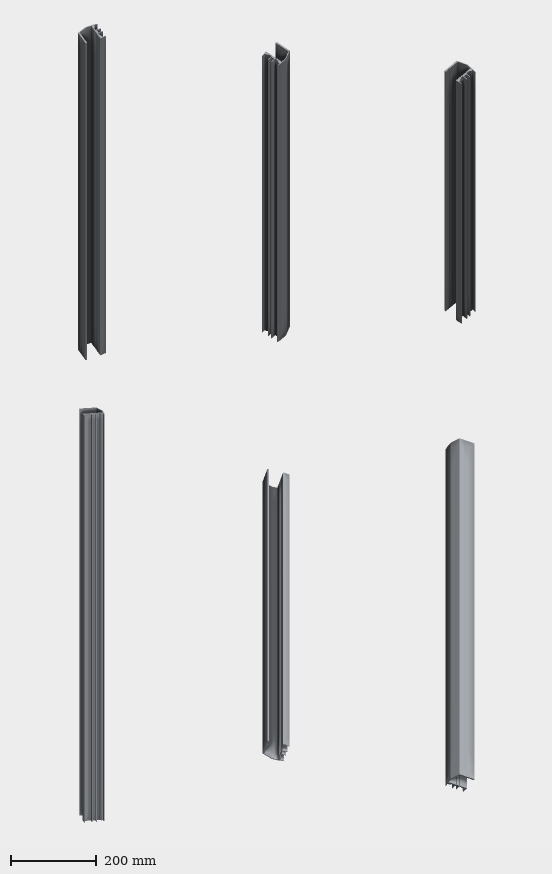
import cadquery as cq

length = 1000.0
width = 50.0
depth = 54.0
left = -width / 2
right = width / 2
front = -depth / 2
back = depth / 2

wall = 2.0
bend_y = -2.0
bend_radius = 8.0

groove_width = 4.0
groove_depth = 0.5
flange_groove_x = 1.0
web_groove_centres = (-5.0, 3.0)

flange_left = -15.0
flange = 4.0
flange_notch_x = 13.0
flange_notch_width = 3.0
flange_notch_depth = 1.0

web_front = 11.0
web = 3.0
web_back = web_front + web

block_back = 18.0
left_block_top = 7.0
right_block_top = 5.0
left_block_slope = 5.0
right_block_slope = 9.0

fin = 1.5
fin_inset = 1.0
tip = 1.0
tip_length = 2.0
shoulder = 2.0
middle_fin_centres = (-5.0, 5.0)

pad_back = 16.0


def prism(points):
    return cq.Workplane("XY").polyline(points).close().extrude(length)


def bar(x_min, x_max, y_min, y_max):
    return prism([(x_min, y_min), (x_max, y_min), (x_max, y_max), (x_min, y_max)])


def centred_bar(x_centre, bar_width, y_min, y_max):
    return bar(x_centre - bar_width / 2, x_centre + bar_width / 2, y_min, y_max)


def shallow_groove(x_centre, y_face):
    return centred_bar(x_centre, groove_width, y_face, y_face + groove_depth)


def side_wall():
    body = prism(
        [
            (left, block_back),
            (left, bend_y),
            (flange_left, front),
            (flange_left + wall, front),
            (left + wall, bend_y),
            (left + wall, block_back),
        ]
    )
    bend_zone = cq.selectors.BoxSelector(
        (left - wall, bend_y - wall, -wall),
        (left + 2 * wall, bend_y + wall, length + wall),
    )
    return body.edges("|Z").edges(bend_zone).fillet(bend_radius)


def front_flange():
    flange_back = front + flange
    body = bar(flange_left, right, front, flange_back)
    groove = shallow_groove(flange_groove_x, front)
    notch = centred_bar(flange_notch_x, flange_notch_width, flange_back - flange_notch_depth, flange_back)
    return body.cut(groove).cut(notch)


def end_block(edge_x, inward, top_width, slope):
    """Thickened web end with a sloped shoulder and a fin; inward is +1 or -1 along X."""
    fin_outer = edge_x + inward * fin_inset
    fin_inner = fin_outer + inward * fin
    top_inner = edge_x + inward * top_width
    foot = top_inner + inward * slope
    return prism(
        [
            (edge_x, web_front),
            (edge_x, block_back),
            (fin_outer, block_back + shoulder),
            (fin_outer, back - tip_length),
            (fin_outer + inward * tip, back),
            (fin_inner, back),
            (fin_inner, block_back),
            (top_inner, block_back),
            (foot, web_back),
            (foot, web_front),
        ]
    )


def middle_fins():
    first, last = middle_fin_centres
    body = bar(first, last, web_front, pad_back)
    for centre in middle_fin_centres:
        body = body.union(centred_bar(centre, fin, web_front, back))
    return body


result = (
    side_wall()
    .union(front_flange())
    .union(bar(left, right, web_front, web_back))
    .union(end_block(left, 1, left_block_top, left_block_slope))
    .union(end_block(right, -1, right_block_top, right_block_slope))
    .union(middle_fins())
)
for groove_x in web_groove_centres:
    result = result.cut(shallow_groove(groove_x, web_front))